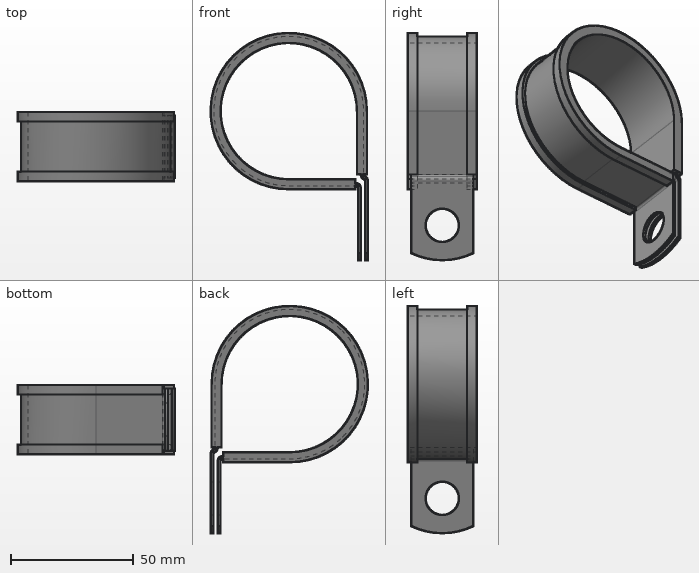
import cadquery as cq
import math

overall_width = 64.5
overall_height = 93.15
cushion_width = 28.4
outer_radius = 32.0
cushion_thickness = 4.2
inner_radius = outer_radius - cushion_thickness
upright_leg_length = 25.9
flat_leg_length = 27.3
flange_width = 4.0
groove_depth = 1.4

strap_thickness = 1.2
strap_width = 25.5
bend_inner_radius = 0.9
bend_outer_radius = bend_inner_radius + strap_thickness
tab_gap = 1.7
strap_outer_radius = outer_radius - groove_depth
strap_inner_radius = strap_outer_radius - strap_thickness
embed_length = 4.7

tab_bottom = outer_radius - overall_height
outer_tab_face = overall_width - outer_radius
inner_tab_face = outer_tab_face - strap_thickness - tab_gap
tab_end_rise = 3.0
hole_diameter = 13.5
hole_height = 14.3


def extrude_centred(outline, width):
    """Extrude an XZ outline symmetrically about the XZ plane."""
    return outline.extrude(width / 2, both=True)


def arc_point(center, radius, degrees):
    angle = math.radians(degrees)
    return (center[0] + radius * math.cos(angle), center[1] + radius * math.sin(angle))


def loop_band(outside, inside, width):
    """Three-quarter ring with a leg going down on +X and a leg going +X at the bottom."""
    middle = 135
    outline = (
        cq.Workplane("XZ")
        .moveTo(outside, -upright_leg_length)
        .lineTo(outside, 0)
        .threePointArc(arc_point((0, 0), outside, middle), (0, -outside))
        .lineTo(flat_leg_length, -outside)
        .lineTo(flat_leg_length, -inside)
        .lineTo(0, -inside)
        .threePointArc(arc_point((0, 0), inside, middle), (inside, 0))
        .lineTo(inside, -upright_leg_length)
        .close()
    )
    return extrude_centred(outline, width)


def cushion():
    groove_width = cushion_width - 2 * flange_width
    body = loop_band(outer_radius, inner_radius, cushion_width)
    groove = loop_band(outer_radius + groove_depth, strap_outer_radius, groove_width)
    return body.cut(groove)


def inner_tab():
    """Tab leaving the flat leg and turning down through a right angle."""
    center = (inner_tab_face - bend_outer_radius, -strap_inner_radius - bend_outer_radius)
    start = flat_leg_length - embed_length
    outline = (
        cq.Workplane("XZ")
        .moveTo(start, -strap_inner_radius)
        .lineTo(center[0], -strap_inner_radius)
        .threePointArc(
            arc_point(center, bend_outer_radius, 45), arc_point(center, bend_outer_radius, 0)
        )
        .lineTo(inner_tab_face, tab_bottom)
        .lineTo(inner_tab_face - strap_thickness, tab_bottom)
        .lineTo(*arc_point(center, bend_inner_radius, 0))
        .threePointArc(
            arc_point(center, bend_inner_radius, 45), arc_point(center, bend_inner_radius, 90)
        )
        .lineTo(start, -strap_outer_radius)
        .close()
    )
    return extrude_centred(outline, strap_width)


def upper_point(center, radius, turn):
    """Point on the first S-bend arc, measured from its start on the -X side."""
    return arc_point(center, radius, 180 + turn)


def outer_tab():
    """Tab leaving the upright leg and stepping outward through an S-bend."""
    step = outer_tab_face - strap_outer_radius
    radius_sum = bend_inner_radius + bend_outer_radius
    turn = math.degrees(math.acos(1 - step / radius_sum))
    drop = radius_sum * math.sin(math.radians(turn))
    upper = (strap_outer_radius + bend_inner_radius, -upright_leg_length)
    lower = (outer_tab_face - bend_outer_radius, -upright_leg_length - drop)
    start = -upright_leg_length + embed_length
    outline = (
        cq.Workplane("XZ")
        .moveTo(strap_outer_radius, start)
        .lineTo(*upper_point(upper, bend_inner_radius, 0))
        .threePointArc(
            upper_point(upper, bend_inner_radius, turn / 2), upper_point(upper, bend_inner_radius, turn)
        )
        .threePointArc(
            arc_point(lower, bend_outer_radius, turn / 2), arc_point(lower, bend_outer_radius, 0)
        )
        .lineTo(outer_tab_face, tab_bottom)
        .lineTo(outer_tab_face - strap_thickness, tab_bottom)
        .lineTo(*arc_point(lower, bend_inner_radius, 0))
        .threePointArc(
            arc_point(lower, bend_inner_radius, turn / 2), arc_point(lower, bend_inner_radius, turn)
        )
        .threePointArc(
            upper_point(upper, bend_outer_radius, turn / 2), upper_point(upper, bend_outer_radius, 0)
        )
        .lineTo(strap_inner_radius, start)
        .close()
    )
    return extrude_centred(outline, strap_width)


def tab_profile():
    """Solid along X whose YZ outline is the tab with its rounded end and bolt hole."""
    half_width = strap_width / 2
    outline = (
        cq.Workplane("YZ")
        .moveTo(-half_width, 0)
        .lineTo(-half_width, tab_bottom + tab_end_rise)
        .threePointArc((0, tab_bottom), (half_width, tab_bottom + tab_end_rise))
        .lineTo(half_width, 0)
        .close()
        .extrude(overall_width)
    )
    hole = (
        cq.Workplane("YZ")
        .center(0, tab_bottom + hole_height)
        .circle(hole_diameter / 2)
        .extrude(overall_width)
    )
    return outline.cut(hole)


tabs = inner_tab().union(outer_tab()).intersect(tab_profile())
result = cushion().union(tabs)